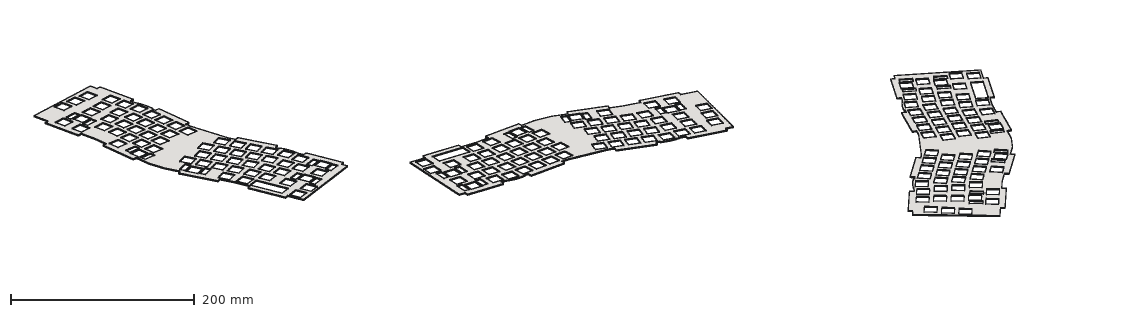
import cadquery as cq
import math


LENGTH = 358.5
THICKNESS = 1.5
KEY_PITCH = 19.0
OUTER_TILT = 5
INNER_TILT = 11

SIDE_EDGE = 95.5
LOW_CORNER_Y = -36.5
TOP_OUTER_EDGE = 94.7
BOTTOM_OUTER_EDGE = 87.0
TOP_FLAT_HALF = 25.5
BOTTOM_FLAT_HALF = 10.5

TAB_LENGTH = 47.5
TAB_HEIGHT = 5.0
TAB_ROOT = 3.5
TOP_OUTER_TAB_START = 8.5
BOTTOM_OUTER_TAB_START = 20.0
TOP_INNER_TAB_GAP = 8.0
BOTTOM_INNER_TAB_GAP = 19.0
TOP_SHIFT = 0.9

BULGE_START = 62.5
BULGE_PEAK = 73.0
BULGE_END = 86.8
BULGE_PEAK_HEIGHT = 1.97
BULGE_END_HEIGHT = 1.35

SWITCH_HOLE = 14.0
STABILISER_WIDTH = 7.0
STABILISER_HEIGHT = 15.0
STABILISER_REACH = 0.63 * KEY_PITCH
STABILISER_SHIFT = 1.5
BAR_HOLE_LENGTH = 40.5
BAR_HOLE_HEIGHT = 14.0
BAR_HOLE_DROP = 0.05
RAISED = 0.1

LEFT_OUTER = ((-118.5, 5.7), -OUTER_TILT)
LEFT_INNER = ((-57.7, 36.2), -INNER_TILT)
RIGHT_INNER = ((55.0, 16.0), INNER_TILT)
RIGHT_OUTER = ((139.5, -11.5), OUTER_TILT)

LEFT_OUTER_KEYS = [
    (2, 0, (-1, 0)),
    (2 + RAISED, 0, (1,)),
    (1.5, 0.7, (-3,)),
    (1, 0.15, (-1,)),
    (1, 0.41, (0,)),
    (0.5, 0.6, (-3,)),
    (0, 0.18, (-1,)),
    (0, 0.55, (0,)),
    (-0.5, 0.5, (-3,)),
    (-1, 0.96, (0,)),
    (-2, 0.83, (-2,)),
    (-2, 0.08, (0,)),
]
LEFT_INNER_KEYS = [
    (0, 0, (-1, 0, 1, 2)),
    (-1, 0.53, (-2, -1, 0, 1)),
    (-2, 0.78, (-2, -1, 0, 1)),
    (-3, 0.28, (-1, 0, 1, 2)),
    (-4, 0.37, (0,)),
]
RIGHT_INNER_KEYS = [
    (1, 0.55, (-2, -1, 0, 1)),
    (0, 0, (-2, -1, 0, 1, 2)),
    (-1, 0.25, (-2, -1, 0, 1)),
    (-2, 0.75, (-3, -2, -1, 0)),
    (-3, 0.62, (0,)),
]
RIGHT_OUTER_KEYS = [
    (3 + RAISED, 0.15, (-2,)),
    (3, 0.15, (-1,)),
    (2, 0.75, (-2, -1)),
    (2, 0, (1,)),
    (1, 0.1, (-2, -1)),
    (0, 0.7, (-3, -2)),
    (0, 0.08, (0,)),
    (0, 0.45, (1,)),
    (-1, 0.8, (-3,)),
    (-1, 0.32, (1,)),
]

BAR_HOLE_KEY = (-1 - BAR_HOLE_DROP, 0.43, (-1,))

LEFT_OUTER_WIDE_KEYS = [(-1, 0.33, (-1,))]
LEFT_INNER_WIDE_KEYS = [(-4, 0.11, (2,))]
RIGHT_INNER_WIDE_KEYS = [(-3, 0.62, (-2,))]
RIGHT_OUTER_WIDE_KEYS = [(3, 0.65, (0,)), (1, 0.73, (0,))]


def along(point, angle, distance):
    """Return the point reached from `point` in the direction `angle` (degrees)."""
    turn = math.radians(angle)
    return (point[0] + distance * math.cos(turn), point[1] + distance * math.sin(turn))


def tilted_plane(origin, tilt):
    """Return a workplane on the plate's underside, turned by `tilt` about Z."""
    return cq.Workplane("XY").transformed(offset=(origin[0], origin[1], 0), rotate=(0, 0, tilt))


def tab(start, tilt, side):
    """Return a tab running from `start` along an edge; `side` is 1 above it, -1 below it."""
    height = TAB_ROOT + TAB_HEIGHT
    centre_offset = side * (TAB_HEIGHT - TAB_ROOT) / 2
    block = tilted_plane(start, tilt).center(TAB_LENGTH / 2, centre_offset)
    return block.rect(TAB_LENGTH, height).extrude(THICKNESS)


def key_points(keys):
    """Return the key centres in the cluster's own grid."""
    return [
        ((column + shift) * KEY_PITCH, row * KEY_PITCH)
        for row, shift, columns in keys
        for column in columns
    ]


def holes(cluster, points, width, height):
    """Return the cutter for equal rectangular holes at points of a cluster."""
    return tilted_plane(*cluster).pushPoints(points).rect(width, height).extrude(THICKNESS)


def stabiliser_points(keys, side):
    """Return the stabiliser hole centres beside wide keys, shifted up (1) or down (-1)."""
    return [
        (x + reach, y + side * STABILISER_SHIFT)
        for x, y in key_points(keys)
        for reach in (-STABILISER_REACH, STABILISER_REACH)
    ]


low_corner = (-LENGTH / 2, LOW_CORNER_Y)
high_corner = along(low_corner, 90 - OUTER_TILT, SIDE_EDGE)
top_bend = along(high_corner, -OUTER_TILT, TOP_OUTER_EDGE)
bottom_bend = along(low_corner, -OUTER_TILT, BOTTOM_OUTER_EDGE)
top_inner_edge = (-TOP_FLAT_HALF - top_bend[0]) / math.cos(math.radians(INNER_TILT))
bottom_inner_edge = (-BOTTOM_FLAT_HALF - bottom_bend[0]) / math.cos(math.radians(INNER_TILT))
top_flat_end = along(top_bend, -INNER_TILT, top_inner_edge)
bottom_flat_end = along(bottom_bend, -INNER_TILT, bottom_inner_edge)

left_half = (
    cq.Workplane("XY")
    .polyline([
        low_corner,
        high_corner,
        top_bend,
        top_flat_end,
        (0, top_flat_end[1]),
        (0, bottom_flat_end[1]),
        bottom_flat_end,
        bottom_bend,
    ])
    .close()
    .extrude(THICKNESS)
)

bulge = (
    tilted_plane(high_corner, -OUTER_TILT)
    .moveTo(BULGE_START, 0)
    .threePointArc((BULGE_PEAK, BULGE_PEAK_HEIGHT), (BULGE_END, BULGE_END_HEIGHT))
    .lineTo(BULGE_END, -TAB_ROOT)
    .lineTo(BULGE_START, -TAB_ROOT)
    .close()
    .extrude(THICKNESS)
)
top_outer_tab_corner = along(high_corner, -OUTER_TILT, TOP_OUTER_TAB_START)
bottom_outer_tab_corner = along(low_corner, -OUTER_TILT, BOTTOM_OUTER_TAB_START)
top_inner_tab_corner = along(top_flat_end, -INNER_TILT, -TOP_INNER_TAB_GAP - TAB_LENGTH)
bottom_inner_tab_corner = along(bottom_flat_end, -INNER_TILT, -BOTTOM_INNER_TAB_GAP - TAB_LENGTH)

top_parts = bulge.union(tab(top_outer_tab_corner, -OUTER_TILT, 1))
top_parts = top_parts.union(tab(top_inner_tab_corner, -INNER_TILT, 1))
top_parts = top_parts.union(top_parts.mirror("YZ")).translate((TOP_SHIFT, 0, 0))

bottom_parts = tab(bottom_outer_tab_corner, -OUTER_TILT, -1)
bottom_parts = bottom_parts.union(tab(bottom_inner_tab_corner, -INNER_TILT, -1))
bottom_parts = bottom_parts.union(bottom_parts.mirror("YZ"))

plate = left_half.union(left_half.mirror("YZ")).union(top_parts).union(bottom_parts)

for cluster, keys, wide_keys, stabiliser_side in [
    (LEFT_OUTER, LEFT_OUTER_KEYS, LEFT_OUTER_WIDE_KEYS, -1),
    (LEFT_INNER, LEFT_INNER_KEYS, LEFT_INNER_WIDE_KEYS, 1),
    (RIGHT_INNER, RIGHT_INNER_KEYS, RIGHT_INNER_WIDE_KEYS, 1),
    (RIGHT_OUTER, RIGHT_OUTER_KEYS, RIGHT_OUTER_WIDE_KEYS, -1),
]:
    switches = key_points(keys + wide_keys)
    stabilisers = stabiliser_points(wide_keys, stabiliser_side)
    plate = plate.cut(holes(cluster, switches, SWITCH_HOLE, SWITCH_HOLE))
    plate = plate.cut(holes(cluster, stabilisers, STABILISER_WIDTH, STABILISER_HEIGHT))

bar_centre = key_points([BAR_HOLE_KEY])
result = plate.cut(holes(RIGHT_OUTER, bar_centre, BAR_HOLE_LENGTH, BAR_HOLE_HEIGHT))